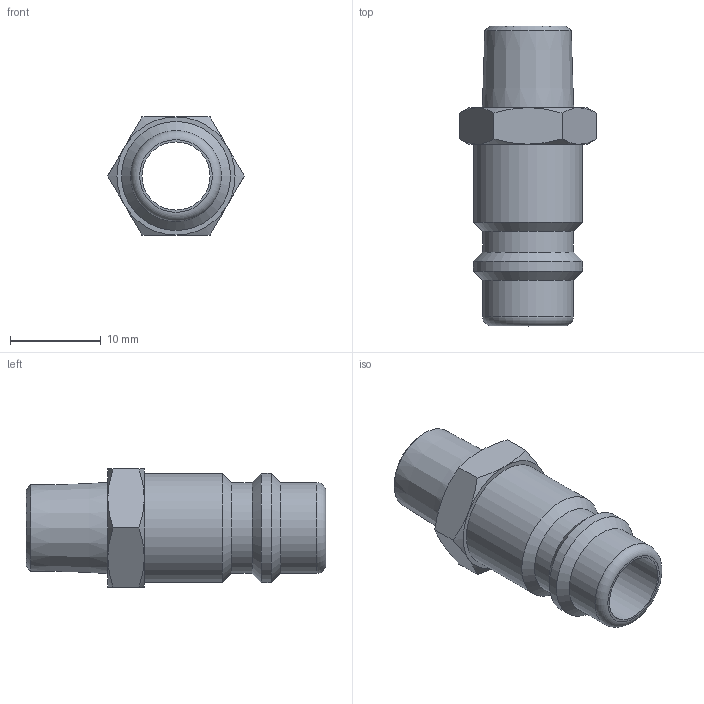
import cadquery as cq
import math


total_length = 33.0
hex_start = 20.0
hex_width = 4.0
hex_end = hex_start + hex_width
body_start = 10.4
collar_start = 5.0
collar_rim_width = 1.1

nose_radius = 5.0
nose_rounding = 1.0
body_radius = 6.0
shoulder_rise = body_radius - nose_radius
bore_radius = 3.75

gauge_diameter = 9.728
gauge_length = 4.0
gauge_position = total_length - gauge_length
thread_taper = 1 / 16
thread_depth = 0.581
thread_chamfer_length = 0.5

across_flats = 13.0
across_corners = across_flats / math.cos(math.radians(30))
hex_chamfer_angle = 30.0


def thread_radius(position):
    """Radius of the tapered shank at a distance from the nose."""
    return (gauge_diameter + (gauge_position - position) * thread_taper) / 2


def turn(profile):
    """Revolve an outline of (radius, Y) points about the Y axis."""
    return profile.close().revolve(360, (0, 0, 0), (0, 1, 0))


def make_plug():
    """Nose, locking collar, groove and cylindrical body."""
    rim_start = collar_start + shoulder_rise
    rim_end = rim_start + collar_rim_width
    groove_start = rim_end + shoulder_rise
    arc_offset = nose_rounding * (1 - math.sqrt(0.5))
    profile = (
        cq.Workplane("XY")
        .moveTo(0, 0)
        .lineTo(nose_radius - nose_rounding, 0)
        .threePointArc((nose_radius - arc_offset, arc_offset), (nose_radius, nose_rounding))
        .lineTo(nose_radius, collar_start)
        .lineTo(body_radius, rim_start)
        .lineTo(body_radius, rim_end)
        .lineTo(nose_radius, groove_start)
        .lineTo(nose_radius, body_start)
        .lineTo(body_radius, body_start + shoulder_rise)
        .lineTo(body_radius, hex_start)
        .lineTo(0, hex_start)
    )
    return turn(profile)


def make_hexagon():
    """Hexagon with both ends chamfered by cones tangent to its flats."""
    corner_radius = across_corners / 2
    face_radius = across_flats / 2
    chamfer_length = (corner_radius - face_radius) * math.tan(math.radians(hex_chamfer_angle))
    prism = (
        cq.Workplane("XZ", origin=(0, hex_end, 0))
        .polygon(6, across_corners)
        .extrude(hex_width)
    )
    envelope = (
        cq.Workplane("XY")
        .moveTo(0, hex_start)
        .lineTo(face_radius, hex_start)
        .lineTo(corner_radius, hex_start + chamfer_length)
        .lineTo(corner_radius, hex_end - chamfer_length)
        .lineTo(face_radius, hex_end)
        .lineTo(0, hex_end)
    )
    return prism.intersect(turn(envelope))


def make_thread_shank():
    """Tapered shank, chamfered at its end down to the thread root."""
    chamfer_start = total_length - thread_chamfer_length
    profile = (
        cq.Workplane("XY")
        .moveTo(0, hex_end)
        .lineTo(thread_radius(hex_end), hex_end)
        .lineTo(thread_radius(chamfer_start), chamfer_start)
        .lineTo(thread_radius(total_length) - thread_depth, total_length)
        .lineTo(0, total_length)
    )
    return turn(profile)


def make_bore():
    """Through bore along the whole axis."""
    return cq.Workplane("XZ").circle(bore_radius).extrude(-total_length)


result = make_plug().union(make_hexagon()).union(make_thread_shank()).cut(make_bore())